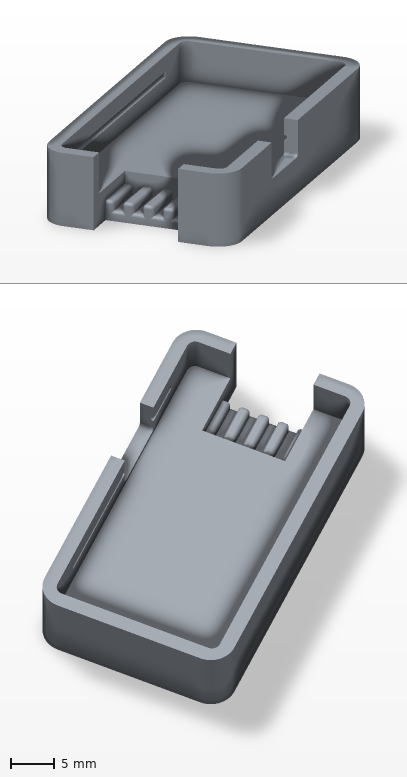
import cadquery as cq

width, length, height = 24.0, 42.0, 9.0
outer_radius = 3.0
wall = 1.72
inner_radius = 1.0
floor_top = 4.0

opening_width = 10.5
opening_depth = 9.7
ledge_front = 3.7
ledge_height = 2.45
slot_count = 4
slot_pitch = 2.48
slot_width = 1.15
slot_floor = 1.2
ledge_round = 0.4

notch_start, notch_end = -8.78, -0.67
notch_floor = 4.5
notch_round = 0.4

groove_length = 27.7
groove_z = 6.6
groove_radius = 0.38

front_y = -length / 2
overlap = 0.4


def box(x_range, y_range, z_range):
    """Axis-aligned box spanning the given ranges."""
    spans = (x_range, y_range, z_range)
    sizes = [high - low for low, high in spans]
    corner = tuple(low for low, high in spans)
    return cq.Workplane("XY").box(*sizes, centered=False).translate(corner)


def make_tray():
    outer = cq.Workplane("XY").box(width, length, height, centered=(True, True, False))
    outer = outer.edges("|Z").fillet(outer_radius)
    cavity = (
        cq.Workplane("XY", origin=(0, 0, floor_top))
        .box(width - 2 * wall, length - 2 * wall, height, centered=(True, True, False))
        .edges("|Z")
        .fillet(inner_radius)
    )
    return outer.cut(cavity)


def make_front_opening():
    half = opening_width / 2
    return box((-half, half), (front_y - overlap, front_y + opening_depth), (-overlap, height + overlap))


def make_ledge():
    """Ledge across the front opening, with rounded slots running along Y."""
    half = opening_width / 2
    y_range = (front_y + ledge_front, front_y + opening_depth)
    ledge = box((-half, half), y_range, (0, ledge_height))
    slot_y_range = (y_range[0] - overlap, y_range[1] + overlap)
    for index in range(slot_count):
        center = (index - (slot_count - 1) / 2) * slot_pitch
        x_range = (center - slot_width / 2, center + slot_width / 2)
        ledge = ledge.cut(box(x_range, slot_y_range, (slot_floor, ledge_height + overlap)))

    inner_half = half - ledge_round / 2
    rim_selector = cq.selectors.BoxSelector(
        (-inner_half, y_range[0] - overlap, slot_floor / 2),
        (inner_half, y_range[0] + overlap, ledge_height + overlap),
    )
    front_rim = ledge.faces("<Y").edges(rim_selector)
    slot_rims = ledge.faces(">Z").edges("|Y").edges(
        cq.selectors.BoxSelector(
            (-inner_half, y_range[0], slot_floor),
            (inner_half, y_range[1], ledge_height + overlap),
        )
    )
    return front_rim.add(slot_rims).fillet(ledge_round)


def make_side_notch():
    inner_x = width / 2 - wall
    notch = box(
        (inner_x - overlap, width / 2 + overlap),
        (notch_start, notch_end),
        (notch_floor, height + overlap),
    )
    return notch.faces("<Z").edges("|X").fillet(notch_round)


def make_groove(side):
    """Half-round groove cutter; side is +1 or -1 for the +X or -X wall."""
    groove_x = side * (width / 2 - wall)
    return (
        cq.Workplane("XZ", origin=(groove_x, 0, groove_z))
        .circle(groove_radius)
        .extrude(groove_length / 2, both=True)
    )


result = make_tray().cut(make_front_opening()).union(make_ledge()).cut(make_side_notch())
for side in (-1, 1):
    result = result.cut(make_groove(side))